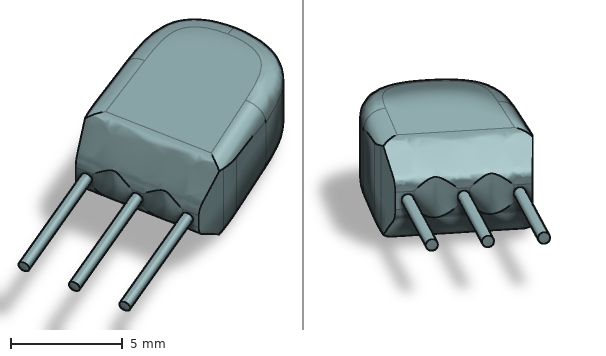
import cadquery as cq

width = 7.1
height = 4.8
total_length = 15.72
body_length = 9.68
edge_radius = 1.0
dome_start_y = 5.56
shoulder_x = 2.85
shoulder_y = 8.55
flare_width = 7.48
front_width = 6.23
taper_start_y = 2.23
taper_blend_radius = 5.42

nose_start = (0, 0.41)
nose_lower = (0.49, 1.25)
nose_upper = (1.46, 2.15)
nose_end_y = 2.01

lead_count = 3
lead_pitch = 2.55
lead_diameter = 0.55
lead_length = total_length - body_length
hollow_depth = 0.17

half_width = width / 2
half_height = height / 2
lead_radius = lead_diameter / 2
overrun = 0.15


def rounded_blank():
    """Domed block with flared sides and rounded broad-face edges, square at the front."""
    half_flare = flare_width / 2
    flare_slope = (half_flare - half_width) / dome_start_y
    blank = (
        cq.Workplane("XY", origin=(0, 0, -half_height))
        .moveTo(-half_flare, 0)
        .lineTo(half_flare, 0)
        .lineTo(half_width, dome_start_y)
        .spline(
            [(shoulder_x, shoulder_y), (0, body_length)],
            tangents=[(-flare_slope, 1), (-1, 0)],
            includeCurrent=True,
        )
        .spline(
            [(-shoulder_x, shoulder_y), (-half_width, dome_start_y)],
            tangents=[(-1, 0), (-flare_slope, -1)],
            includeCurrent=True,
        )
        .close()
        .extrude(height)
    )
    front_edges = cq.selectors.BoxSelector(
        (-width, -overrun, -height), (width, overrun, height)
    )
    rim_edges = cq.StringSyntaxSelector("<Z or >Z") - front_edges
    return blank.edges(rim_edges).fillet(edge_radius)


def side_envelope():
    """Prism with parallel sides that taper inward toward the front face."""
    half_front = front_width / 2
    back_y = body_length + overrun
    prism = (
        cq.Workplane("XY", origin=(0, 0, -half_height))
        .polyline([
            (-half_front, 0),
            (half_front, 0),
            (half_width, taper_start_y),
            (half_width, back_y),
            (-half_width, back_y),
            (-half_width, taper_start_y),
        ])
        .close()
        .extrude(height)
    )
    taper_edges = cq.selectors.BoxSelector(
        (-width, taper_start_y - overrun, -height),
        (width, taper_start_y + overrun, height),
    )
    return prism.edges(cq.StringSyntaxSelector("|Z") & taper_edges).fillet(taper_blend_radius)


def mirrored(point):
    """Matching point below the mid plane."""
    y, z = point
    return (y, -z)


def nose_envelope():
    """Prism across the width whose front narrows smoothly to a flat front face."""
    back_y = body_length + overrun
    return (
        cq.Workplane("YZ", origin=(-half_width, 0, 0))
        .moveTo(*mirrored(nose_start))
        .lineTo(*nose_start)
        .spline(
            [nose_lower, nose_upper, (nose_end_y, half_height)],
            tangents=[(0, 1), (1, 0)],
            includeCurrent=True,
        )
        .lineTo(back_y, half_height)
        .lineTo(back_y, -half_height)
        .lineTo(nose_end_y, -half_height)
        .spline(
            [mirrored(nose_upper), mirrored(nose_lower), mirrored(nose_start)],
            tangents=[(-1, 0), (0, 1)],
            includeCurrent=True,
        )
        .close()
        .extrude(width)
    )


def hollow(left_lead_x):
    """Shallow bell-shaped cut across the nose between two neighbouring leads."""
    left_x = left_lead_x + lead_radius
    right_x = left_lead_x + lead_pitch - lead_radius
    return (
        cq.Workplane("XY", origin=(0, 0, -half_height))
        .moveTo(left_x, 0)
        .spline(
            [((left_x + right_x) / 2, hollow_depth), (right_x, 0)],
            tangents=[(1, 0), (1, 0)],
            includeCurrent=True,
        )
        .close()
        .extrude(height)
    )


def make_housing(lead_places):
    body = rounded_blank().intersect(side_envelope()).intersect(nose_envelope())
    for left_lead_x in lead_places[:-1]:
        body = body.cut(hollow(left_lead_x))
    return body


def make_lead(x):
    """Round wire running forward from the front face."""
    return (
        cq.Workplane("XZ", origin=(x, 0, 0))
        .circle(lead_radius)
        .extrude(lead_length)
    )


lead_places = [(i - (lead_count - 1) / 2) * lead_pitch for i in range(lead_count)]
housing = make_housing(lead_places)
leads = [make_lead(x) for x in lead_places]

result = cq.Compound.makeCompound([housing.val(), *[lead.val() for lead in leads]])